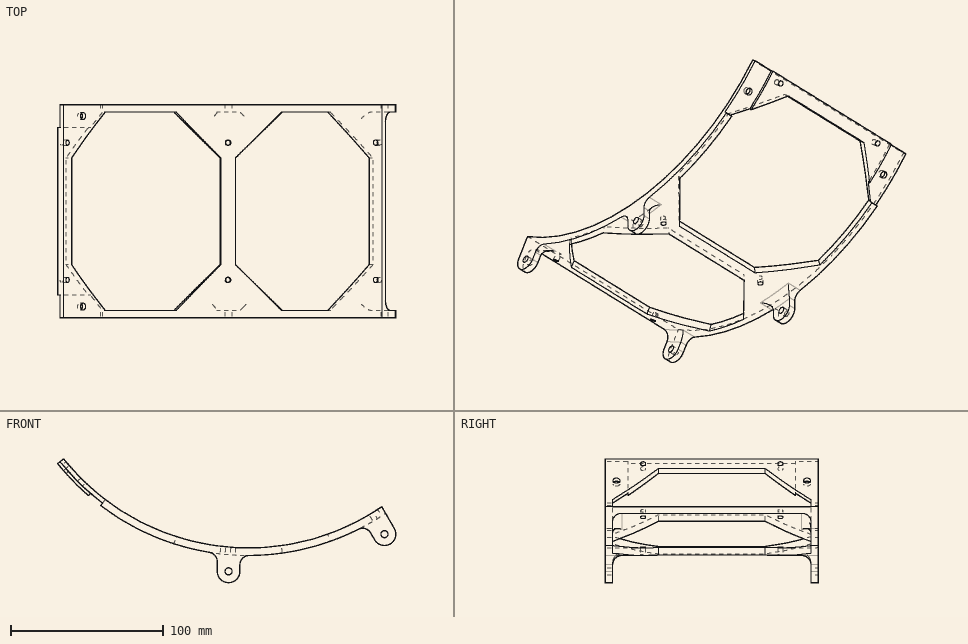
import cadquery as cq
import math


INNER_RADIUS = 155.0
THICKNESS = 5.0
OUTER_RADIUS = INNER_RADIUS + THICKNESS
HALF_WIDTH = 140.0 / 2
LEFT_END_ANGLE = -51.49

RAIL_WIDTH = 5.0
LUG_RADIUS = 7.5
LUG_HOLE_DIAMETER = 4.5
LUG_FILLET = 6.0
MIDDLE_LUG_X = -13.05
MIDDLE_LUG_Z = -170.34
MIDDLE_LUG_TILT = 0.0
END_LUG_CENTRE_RADIUS = 171.06
END_LUG_ANGLE = 31.44
END_LUG_TILT = 30.0

END_FACE_OFFSET = LUG_RADIUS + END_LUG_CENTRE_RADIUS * math.sin(math.radians(END_LUG_ANGLE - END_LUG_TILT))
RIGHT_INNER_ANGLE = END_LUG_TILT + math.degrees(math.asin(END_FACE_OFFSET / INNER_RADIUS))
RIGHT_OUTER_ANGLE = END_LUG_TILT + math.degrees(math.asin(END_FACE_OFFSET / OUTER_RADIUS))

LEFT_OPENING = (-48.4, -6.7)
RIGHT_OPENING = (-3.1, 30.7)
CORNER_LENGTH = 30.0
CORNER_ANGLE = math.degrees(CORNER_LENGTH / INNER_RADIUS)
OPENING_HALF_WIDTH = HALF_WIDTH - RAIL_WIDTH
OPENING_FLAT_HALF_WIDTH = OPENING_HALF_WIDTH - CORNER_LENGTH
CUTTER_INNER_RADIUS = 0.8 * INNER_RADIUS
CUTTER_OUTER_RADIUS = 1.3 * OUTER_RADIUS

SCREW_HOLE_DIAMETER = 3.4
SCREW_HOLE_Y = 45.0
SCREW_HOLE_ANGLES = (
    (LEFT_END_ANGLE + LEFT_OPENING[0]) / 2,
    (LEFT_OPENING[1] + RIGHT_OPENING[0]) / 2,
    (RIGHT_OPENING[1] + RIGHT_INNER_ANGLE) / 2,
)

PAD_WIDTH = 15.0
PAD_RECESS_DEPTH = 2.0
PAD_END_ANGLE = LEFT_OPENING[0] + CORNER_ANGLE
MOUNT_HOLE_DIAMETER = 4.5
MOUNT_HOLE_ANGLE = -44.4
MOUNT_HOLE_Y = HALF_WIDTH - PAD_WIDTH / 2

CUT_MARGIN = 1.0


def polar(radius, angle):
    """X and Z of a point at a radius and angle around the bend axis."""
    a = math.radians(angle)
    return radius * math.sin(a), -radius * math.cos(a)


END_LUG_X, END_LUG_Z = polar(END_LUG_CENTRE_RADIUS, END_LUG_ANGLE)

LUGS = (
    (MIDDLE_LUG_X, MIDDLE_LUG_Z, MIDDLE_LUG_TILT, (-1, 0, 1)),
    (END_LUG_X, END_LUG_Z, END_LUG_TILT, (-1, 0)),
)


def slab(outline, y_start, y_end):
    """Extrude a closed XZ outline from y_start to y_end."""
    return outline.extrude(y_start - y_end).translate((0, y_start, 0))


def arc_band(inner, outer, start, inner_end, outer_end, y_start, y_end):
    """Part of a ring; its far end may differ in angle between the inside and the outside."""
    outline = (
        cq.Workplane("XZ")
        .moveTo(*polar(inner, start))
        .threePointArc(polar(inner, (start + inner_end) / 2), polar(inner, inner_end))
        .lineTo(*polar(outer, outer_end))
        .threePointArc(polar(outer, (start + outer_end) / 2), polar(outer, start))
        .close()
    )
    return slab(outline, y_start, y_end)


def lug_blank(x, z, tilt, y_start, y_end):
    """Lug with a round tip and straight sides that run up into the panel."""
    tip_x, tip_z = polar(LUG_RADIUS, tilt)
    side_x, side_z = -tip_z, tip_x
    lug_angle = math.degrees(math.atan2(x, -z))
    depth = math.hypot(x, z) * math.cos(math.radians(lug_angle - tilt))
    rise_x, rise_z = polar((INNER_RADIUS + OUTER_RADIUS) / 2 - depth, tilt)
    outline = (
        cq.Workplane("XZ")
        .moveTo(x + side_x, z + side_z)
        .lineTo(x + side_x + rise_x, z + side_z + rise_z)
        .lineTo(x - side_x + rise_x, z - side_z + rise_z)
        .lineTo(x - side_x, z - side_z)
        .threePointArc((x + tip_x, z + tip_z), (x + side_x, z + side_z))
        .close()
    )
    return slab(outline, y_start, y_end)


def root_point(x, z, tilt, side, y):
    """Where a side (-1 or 1) or the middle (0) of a lug meets the outside of the panel."""
    a = math.radians(tilt)
    across = x * math.cos(a) + z * math.sin(a) + side * LUG_RADIUS
    root_x, root_z = polar(OUTER_RADIUS, tilt + math.degrees(math.asin(across / OUTER_RADIUS)))
    return root_x, y, root_z


def add_lug(body, lug, y_side):
    """Join one lug to the rail on the y_side (-1 or 1), fillet its root and drill it."""
    x, z, tilt, filleted_sides = lug
    y_face = y_side * OPENING_HALF_WIDTH
    y_middle = y_side * (HALF_WIDTH - RAIL_WIDTH / 2)
    y_start = y_middle - RAIL_WIDTH / 2
    y_end = y_middle + RAIL_WIDTH / 2

    body = body.union(lug_blank(x, z, tilt, y_start, y_end))
    roots = body.newObject([])
    for side in filleted_sides:
        point = root_point(x, z, tilt, side, y_middle if side else y_face)
        roots = roots.add(body.edges(cq.selectors.NearestToPointSelector(point)))
    body = roots.fillet(LUG_FILLET)

    hole = cq.Workplane("XZ").center(x, z).circle(LUG_HOLE_DIAMETER / 2)
    return body.cut(slab(hole, y_start, y_end))


def opening(start, end):
    """Octagonal cutter whose walls point at the bend axis."""
    sections = []
    for y, inset in (
        (-OPENING_HALF_WIDTH, CORNER_ANGLE),
        (-OPENING_FLAT_HALF_WIDTH, 0),
        (OPENING_FLAT_HALF_WIDTH, 0),
        (OPENING_HALF_WIDTH, CORNER_ANGLE),
    ):
        corners = (
            polar(CUTTER_INNER_RADIUS, start + inset),
            polar(CUTTER_INNER_RADIUS, end - inset),
            polar(CUTTER_OUTER_RADIUS, end - inset),
            polar(CUTTER_OUTER_RADIUS, start + inset),
        )
        points = [cq.Vector(x, y, z) for x, z in corners]
        sections.append(cq.Wire.makePolygon(points, close=True))
    return cq.Workplane(cq.Solid.makeLoft(sections, True))


def pad_recess(y_side):
    """Cutter that thins the left corner on the y_side (-1 or 1) from outside."""
    y_middle = y_side * (HALF_WIDTH - PAD_WIDTH / 2)
    return arc_band(
        OUTER_RADIUS - PAD_RECESS_DEPTH,
        OUTER_RADIUS + CUT_MARGIN,
        LEFT_END_ANGLE - CUT_MARGIN,
        PAD_END_ANGLE,
        PAD_END_ANGLE,
        y_middle - PAD_WIDTH / 2,
        y_middle + PAD_WIDTH / 2,
    )


def radial_hole(diameter, angle, y):
    """Cylinder through the panel, pointing away from the bend axis."""
    start_x, start_z = polar(INNER_RADIUS - CUT_MARGIN, angle)
    direction_x, direction_z = polar(1, angle)
    cylinder = cq.Solid.makeCylinder(
        diameter / 2,
        THICKNESS + 2 * CUT_MARGIN,
        cq.Vector(start_x, y, start_z),
        cq.Vector(direction_x, 0, direction_z),
    )
    return cq.Workplane(cylinder)


panel = arc_band(
    INNER_RADIUS,
    OUTER_RADIUS,
    LEFT_END_ANGLE,
    RIGHT_INNER_ANGLE,
    RIGHT_OUTER_ANGLE,
    -HALF_WIDTH,
    HALF_WIDTH,
)

for y_side in (-1, 1):
    for lug in LUGS:
        panel = add_lug(panel, lug, y_side)

for start, end in (LEFT_OPENING, RIGHT_OPENING):
    panel = panel.cut(opening(start, end))

for y_side in (-1, 1):
    panel = panel.cut(pad_recess(y_side))
    panel = panel.cut(radial_hole(MOUNT_HOLE_DIAMETER, MOUNT_HOLE_ANGLE, y_side * MOUNT_HOLE_Y))
    for angle in SCREW_HOLE_ANGLES:
        panel = panel.cut(radial_hole(SCREW_HOLE_DIAMETER, angle, y_side * SCREW_HOLE_Y))

result = panel